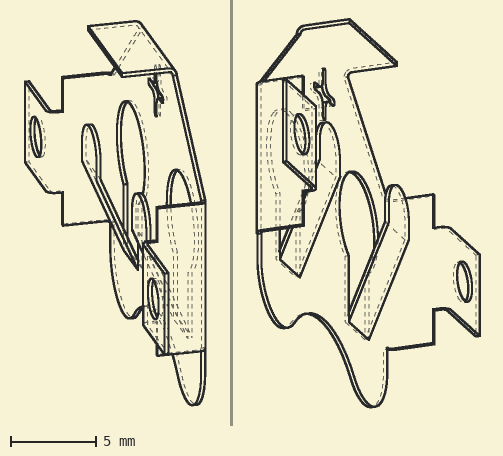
import cadquery as cq
import math


thickness = 0.25
inner_bend = 0.25
outer_bend = inner_bend + thickness

overall_width = 30.76
overall_depth = 3.96
overall_height = 19.86
top_z = 10.58
bottom_z = top_z - overall_height

flange_outer_x = 10.55
flange_height = 9.32
flange_depth = 3.03
ear_height = 5.1
ear_hole_x = 12.97
ear_hole_diameter = 2.38

plate_half_width = flange_outer_x - outer_bend
plate_top_z = top_z - outer_bend
lobe_radius = 3.1
valley_crown_z = -6.5

top_tab_width = 7.55
top_tab_depth = 3.32

spring_x = 5.5
spring_width = 3.18
spring_root_z = -5.23
spring_fold_z = 0.68
spring_tip_z = 3.48
spring_depth = 2.77
window_z = 1.53
window_diameter = 6.12

cross_z = 7.65
cross_length = 3.22
cross_arm_width = 0.42
cross_fillet = 0.6

diagonal = math.sqrt(0.5)


def arc_middle(center, radius, toward_x, toward_y):
    """Middle point of a quarter arc lying in the given diagonal direction."""
    return (
        center[0] + toward_x * radius * diagonal,
        center[1] + toward_y * radius * diagonal,
    )


def front_prism(sketch):
    """Extrude an XZ sketch through the sheet thickness, from Y = 0 to the plate front."""
    return sketch.extrude(thickness)


def plate_blank():
    """Flat plate with sloped shoulders, two round lobes and a round valley between them."""
    lobe_x = plate_half_width - lobe_radius
    lobe_z = bottom_z + lobe_radius
    rise = lobe_z - valley_crown_z
    valley_radius = (lobe_x**2 + rise**2 - lobe_radius**2) / (2 * (lobe_radius - rise))
    valley_z = valley_crown_z - valley_radius
    share = lobe_radius / (lobe_radius + valley_radius)
    join_x = lobe_x * (1 - share)
    join_z = lobe_z + (valley_z - lobe_z) * share
    shoulder_z = flange_height / 2
    tab_half = top_tab_width / 2
    outline = (
        cq.Workplane("XZ")
        .moveTo(-tab_half, plate_top_z)
        .lineTo(tab_half, plate_top_z)
        .lineTo(plate_half_width, shoulder_z)
        .lineTo(plate_half_width, lobe_z)
        .threePointArc((lobe_x, bottom_z), (join_x, join_z))
        .threePointArc((0, valley_crown_z), (-join_x, join_z))
        .threePointArc((-lobe_x, bottom_z), (-plate_half_width, lobe_z))
        .lineTo(-plate_half_width, shoulder_z)
        .close()
    )
    return front_prism(outline)


def top_tab():
    """Tab bent forward from the top edge of the plate."""
    bend_center = (-outer_bend, plate_top_z)
    profile = (
        cq.Workplane("YZ")
        .moveTo(0, plate_top_z)
        .threePointArc(arc_middle(bend_center, outer_bend, 1, 1), (-outer_bend, top_z))
        .lineTo(-top_tab_depth, top_z)
        .lineTo(-top_tab_depth, top_z - thickness)
        .lineTo(-outer_bend, top_z - thickness)
        .threePointArc(arc_middle(bend_center, inner_bend, 1, 1), (-thickness, plate_top_z))
        .close()
    )
    return profile.extrude(top_tab_width / 2, both=True)


def right_flange():
    """Flange bent forward from the plate side, ending in an outward ear with a hole."""
    flange_inner_x = flange_outer_x - thickness
    ear_start_x = flange_outer_x + inner_bend
    ear_end_x = overall_width / 2
    ear_back_y = thickness - overall_depth
    ear_bend_y = outer_bend - overall_depth
    plate_bend = (plate_half_width, -outer_bend)
    ear_bend = (ear_start_x, ear_bend_y)
    profile = (
        cq.Workplane("XY")
        .moveTo(plate_half_width, 0)
        .threePointArc(arc_middle(plate_bend, outer_bend, 1, 1), (flange_outer_x, -outer_bend))
        .lineTo(flange_outer_x, ear_bend_y)
        .threePointArc(arc_middle(ear_bend, inner_bend, -1, -1), (ear_start_x, ear_back_y))
        .lineTo(ear_end_x, ear_back_y)
        .lineTo(ear_end_x, -overall_depth)
        .lineTo(ear_start_x, -overall_depth)
        .threePointArc(arc_middle(ear_bend, outer_bend, -1, -1), (flange_inner_x, ear_bend_y))
        .lineTo(flange_inner_x, -outer_bend)
        .threePointArc(arc_middle(plate_bend, inner_bend, 1, 1), (plate_half_width, -thickness))
        .close()
    )
    strip = profile.extrude(flange_height / 2, both=True)
    wall_zone = cq.Workplane("XY").box(
        overall_width, flange_depth, flange_height, centered=(True, False, True)
    ).translate((0, -flange_depth, 0))
    ear_zone = cq.Workplane("XY").box(
        overall_width, overall_depth, ear_height, centered=(True, False, True)
    ).translate((0, -overall_depth, 0))
    hole = (
        cq.Workplane("XZ")
        .center(ear_hole_x, 0)
        .circle(ear_hole_diameter / 2)
        .extrude(overall_depth)
    )
    return strip.intersect(wall_zone.union(ear_zone)).cut(hole)


def spring_window(x):
    """Round window with a slot below it, from which the spring is bent out."""
    circle = front_prism(cq.Workplane("XZ").center(x, window_z).circle(window_diameter / 2))
    slot_height = window_z - spring_root_z
    slot = front_prism(
        cq.Workplane("XZ")
        .center(x, spring_root_z + slot_height / 2)
        .rect(spring_width, slot_height)
    )
    return circle.union(slot)


def spring(x):
    """Sloped spring rising forward from the slot bottom to an upright round-ended tip."""
    run = spring_depth - thickness
    slope_angle = math.atan2(run, spring_fold_z - spring_root_z)
    miter = thickness * math.tan(slope_angle / 2)
    tip_back_y = thickness - spring_depth
    profile = (
        cq.Workplane("YZ")
        .moveTo(0, spring_root_z)
        .lineTo(-thickness, spring_root_z)
        .lineTo(-spring_depth, spring_fold_z)
        .lineTo(-spring_depth, spring_tip_z)
        .lineTo(tip_back_y, spring_tip_z)
        .lineTo(tip_back_y, spring_fold_z + miter)
        .lineTo(0, spring_root_z + miter)
        .close()
    )
    bent_strip = profile.extrude(spring_width / 2, both=True).translate((x, 0, 0))
    front_fold = cq.selectors.NearestToPointSelector((x, -spring_depth, spring_fold_z))
    bent_strip = bent_strip.edges("|X").edges(front_fold).fillet(thickness)
    half_width = spring_width / 2
    tip_center_z = spring_tip_z - half_width
    silhouette = (
        cq.Workplane("XZ")
        .moveTo(x - half_width, spring_root_z)
        .lineTo(x + half_width, spring_root_z)
        .lineTo(x + half_width, tip_center_z)
        .threePointArc((x, spring_tip_z), (x - half_width, tip_center_z))
        .close()
        .extrude(spring_depth)
    )
    return bent_strip.intersect(silhouette)


def polarity_cross():
    """Plus-shaped opening with round arm ends and filleted inner corners."""
    plane = cq.Workplane("XZ").center(0, cross_z)
    across = front_prism(plane.slot2D(cross_length, cross_arm_width))
    upright = front_prism(plane.slot2D(cross_length, cross_arm_width, 90))
    corner = cross_arm_width / 2
    corner_zone = cq.selectors.BoxSelector(
        (-2 * corner, -overall_depth, cross_z - 2 * corner),
        (2 * corner, overall_depth, cross_z + 2 * corner),
    )
    plus = across.union(upright)
    return plus.edges("|Y").edges(corner_zone).fillet(cross_fillet)


flange = right_flange()
result = plate_blank().union(top_tab()).union(flange).union(flange.mirror("YZ"))
result = result.cut(polarity_cross())
for side in (-1, 1):
    result = result.cut(spring_window(side * spring_x))
    result = result.union(spring(side * spring_x))